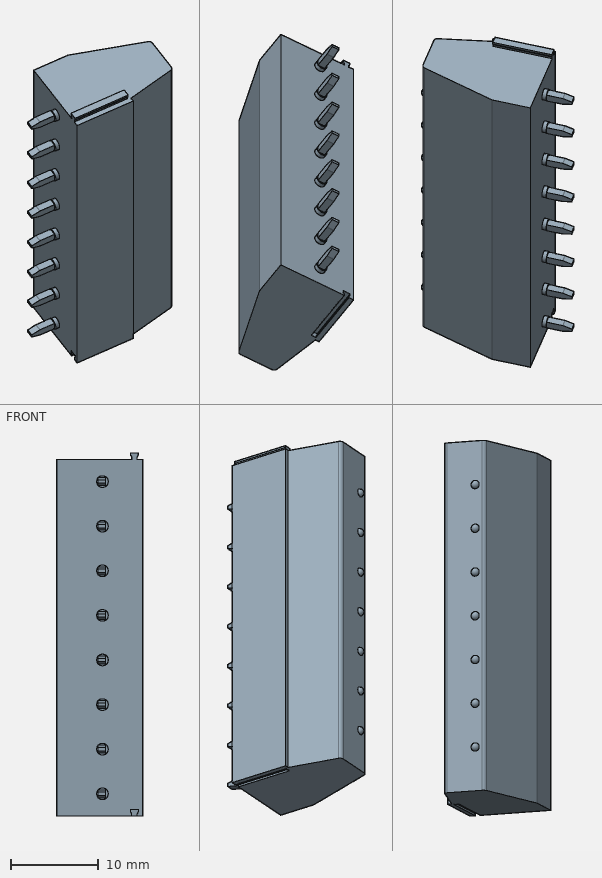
import cadquery as cq


module_count = 8
overall_height = 41.4
rail_height = 0.75
body_height = overall_height - rail_height
pitch = body_height / module_count

body_width = 9.8
body_depth = 13.8
left_wall_depth = 4.55
crown_left = 2.95
crown_right = 7.85
crown_radius = 0.45
step_depth = 7.4
step_width = 0.5

rail_center = 8.85
rail_length = 7.05
rail_head_width = 0.9
rail_neck_width = 0.62
rail_neck_height = rail_height / 3
rail_head_start = 2 * rail_height / 3

pin_length = 3.5
collar_x = 5.2
collar_diameter = 1.32
collar_length = 0.5
blade_x = 5.15
blade_thickness = 0.9
taper_start = 2.45
tip_height = 0.37

bump_x = 4.1
bump_radius = 0.5
bump_height = 0.4


def make_housing():
    crown_corners = cq.selectors.BoxSelector(
        (0, body_depth - crown_radius, 0),
        (body_width, body_depth + crown_radius, body_height),
    )
    return (
        cq.Workplane("XY")
        .moveTo(0, 0)
        .lineTo(body_width, 0)
        .lineTo(body_width, step_depth)
        .lineTo(body_width - step_width, step_depth)
        .lineTo(crown_right, body_depth)
        .lineTo(crown_left, body_depth)
        .lineTo(0, left_wall_depth)
        .close()
        .extrude(body_height)
        .edges("|Z")
        .edges(crown_corners)
        .fillet(crown_radius)
    )


def make_rail(base_z):
    """Dovetail bar along Y, standing on the level base_z."""
    half_neck = rail_neck_width / 2
    half_head = rail_head_width / 2
    return (
        cq.Workplane("XZ", origin=(rail_center, 0, base_z))
        .moveTo(-half_neck, 0)
        .lineTo(-half_neck, rail_neck_height)
        .lineTo(-half_head, rail_head_start)
        .lineTo(-half_head, rail_height)
        .lineTo(half_head, rail_height)
        .lineTo(half_head, rail_head_start)
        .lineTo(half_neck, rail_neck_height)
        .lineTo(half_neck, 0)
        .close()
        .extrude(-rail_length)
    )


def make_pin(z):
    """Round collar and a flat blade with a tapered tip, pointing to -Y."""
    collar = (
        cq.Workplane("XZ", origin=(collar_x, 0, z))
        .circle(collar_diameter / 2)
        .extrude(collar_length)
    )
    half_blade = blade_thickness / 2
    half_tip = tip_height / 2
    blade = (
        cq.Workplane("YZ", origin=(blade_x, 0, z))
        .moveTo(-collar_length, -half_blade)
        .lineTo(-taper_start, -half_blade)
        .lineTo(-pin_length, -half_tip)
        .lineTo(-pin_length, half_tip)
        .lineTo(-taper_start, half_blade)
        .lineTo(-collar_length, half_blade)
        .close()
        .extrude(half_blade, both=True)
    )
    return collar.union(blade)


def make_bump(z):
    """Ball partly sunk into the crown."""
    center_y = body_depth + bump_height - bump_radius
    return cq.Workplane("XY", origin=(bump_x, center_y, z)).sphere(bump_radius)


result = make_housing().union(make_rail(body_height)).cut(make_rail(0))

for module in range(module_count):
    result = result.union(make_pin((module + 0.5) * pitch))

for joint in range(1, module_count):
    result = result.union(make_bump(joint * pitch))